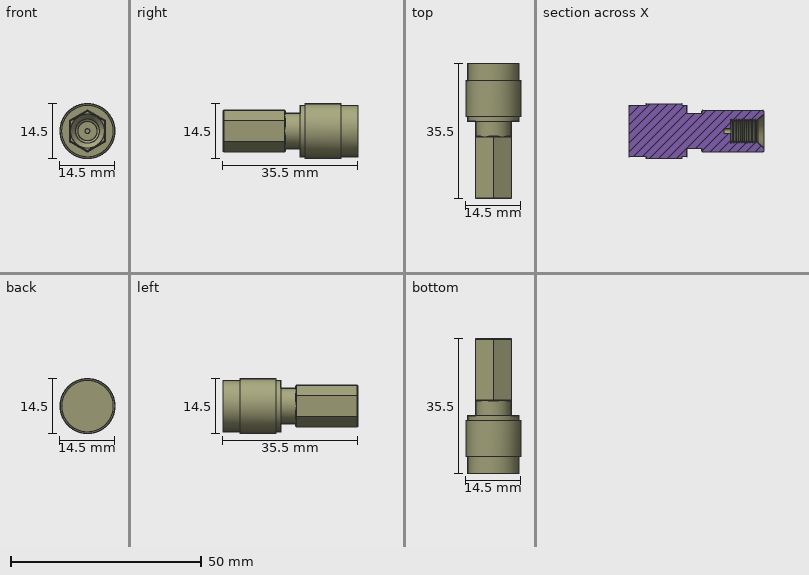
import cadquery as cq
import math

TOTAL_LENGTH = 35.55
HEX_LENGTH = 16.43
BACK_LENGTH = 4.5
SLEEVE_LENGTH = 9.5
COLLAR_LENGTH = 1.25
NECK_LENGTH = TOTAL_LENGTH - HEX_LENGTH - BACK_LENGTH - SLEEVE_LENGTH - COLLAR_LENGTH

SLEEVE_DIAMETER = 14.47
COLLAR_DIAMETER = 13.55
NECK_DIAMETER = 9.4
HEX_ACROSS_FLATS = 9.53
HEX_CHAMFER = 0.25

COUNTERSINK_DIAMETER = 8.93
COUNTERSINK_DEPTH = 1.6
THREAD_MAJOR_DIAMETER = 6.3
THREAD_PITCH = 0.7
THREAD_ANGLE = 60
THREAD_DEPTH = THREAD_PITCH / 2 / math.tan(math.radians(THREAD_ANGLE / 2))
THREAD_MINOR_DIAMETER = THREAD_MAJOR_DIAMETER - 2 * THREAD_DEPTH
THREAD_TURNS = 10

PILOT_DIAMETER = 1.25
PILOT_DEPTH = 1.78


def cylinder(diameter, start, length):
    """Solid cylinder along +Y that begins at Y = start."""
    return cq.Workplane("XZ", origin=(0, start, 0)).circle(diameter / 2).extrude(-length)


def hex_sleeve():
    """Hexagonal prism with flats facing +X and -X, chamfered around both ends."""
    across_corners = HEX_ACROSS_FLATS / math.cos(math.radians(30))
    prism = (
        cq.Workplane("XZ")
        .transformed(rotate=(0, 0, 90))
        .polygon(6, across_corners)
        .extrude(-HEX_LENGTH)
    )
    return prism.faces("<Y or >Y").chamfer(HEX_CHAMFER)


def turned_body():
    """Neck, collar, sleeve and back section, in order along +Y."""
    collar_start = HEX_LENGTH + NECK_LENGTH
    sleeve_start = collar_start + COLLAR_LENGTH
    neck = cylinder(NECK_DIAMETER, HEX_LENGTH - HEX_CHAMFER, NECK_LENGTH + HEX_CHAMFER)
    core = cylinder(COLLAR_DIAMETER, collar_start, TOTAL_LENGTH - collar_start)
    sleeve = cylinder(SLEEVE_DIAMETER, sleeve_start, SLEEVE_LENGTH)
    return neck.union(core).union(sleeve)


def threaded_bore():
    """Countersink followed by ring grooves, ending in a flat floor."""
    major_radius = THREAD_MAJOR_DIAMETER / 2
    minor_radius = THREAD_MINOR_DIAMETER / 2
    profile = cq.Workplane("XY").lineTo(COUNTERSINK_DIAMETER / 2, 0)
    profile = profile.lineTo(major_radius, COUNTERSINK_DEPTH)
    for turn in range(THREAD_TURNS):
        root = COUNTERSINK_DEPTH + turn * THREAD_PITCH
        profile = profile.lineTo(minor_radius, root + THREAD_PITCH / 2)
        profile = profile.lineTo(major_radius, root + THREAD_PITCH)
    floor = COUNTERSINK_DEPTH + THREAD_TURNS * THREAD_PITCH
    bore = profile.lineTo(0, floor).close().revolve(360, (0, 0, 0), (0, 1, 0))
    return bore.union(cylinder(PILOT_DIAMETER, floor, PILOT_DEPTH))


result = hex_sleeve().union(turned_body()).cut(threaded_bore())
result = result.translate((0, -TOTAL_LENGTH / 2, 0))